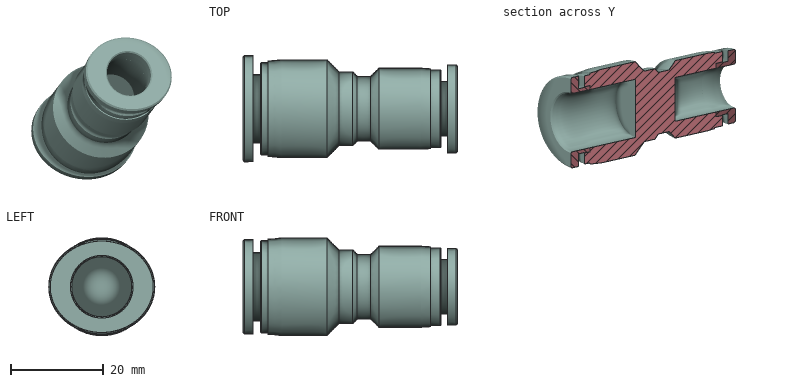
import cadquery as cq

length = 46.5
edge_chamfer = 0.33
bore_chamfer = 0.3
nose_chamfer = 0.2
flange_thickness = 2.25

large_bore_diameter = 13.0
large_sleeve_diameter = 14.8
large_flange_width = 22.95
large_flange_height = 20.45
large_nose_diameter = 20.0
large_taper_diameter = 20.65
large_body_diameter = 21.2
large_nose_x = 3.8
large_taper_x = 5.4
large_body_x = 8.4
large_shoulder_x = 18.2
large_sleeve_depth = 5.4
large_bore_depth = 18.2

small_bore_diameter = 9.75
small_sleeve_diameter = 11.9
small_flange_width = 19.05
small_flange_height = 16.6
small_nose_diameter = 16.9
small_taper_diameter = 17.3
small_body_diameter = 17.6
small_shoulder_x = 29.5
small_body_x = 38.65
small_taper_x = 40.65
small_nose_x = 42.9
small_sleeve_depth = 5.4
small_bore_depth = length - small_shoulder_x

waist_diameter = 16.0
groove_diameter = 14.0
waist_start_x = large_shoulder_x + (large_body_diameter - waist_diameter) / 2
waist_end_x = 23.75
groove_start_x = waist_end_x + (waist_diameter - groove_diameter) / 2
groove_end_x = small_shoulder_x - (small_body_diameter - groove_diameter) / 2


def cylinder(diameter, start_x, end_x):
    """Cylinder along X between two stations."""
    return cq.Workplane("YZ", origin=(start_x, 0, 0)).circle(diameter / 2).extrude(end_x - start_x)


def make_housing():
    """Turned outer shape with a stepped blind socket at each end."""
    stations = [
        (large_nose_x, large_nose_diameter - 2 * nose_chamfer),
        (large_nose_x + nose_chamfer, large_nose_diameter),
        (large_taper_x, large_nose_diameter),
        (large_taper_x, large_taper_diameter),
        (large_body_x, large_body_diameter),
        (large_shoulder_x, large_body_diameter),
        (waist_start_x, waist_diameter),
        (waist_end_x, waist_diameter),
        (groove_start_x, groove_diameter),
        (groove_end_x, groove_diameter),
        (small_shoulder_x, small_body_diameter),
        (small_body_x, small_body_diameter),
        (small_taper_x, small_taper_diameter),
        (small_taper_x, small_nose_diameter),
        (small_nose_x - nose_chamfer, small_nose_diameter),
        (small_nose_x, small_nose_diameter - 2 * nose_chamfer),
    ]
    outline = [(large_nose_x, 0)]
    outline += [(x, diameter / 2) for x, diameter in stations]
    outline += [(small_nose_x, 0)]
    body = cq.Workplane("XY").polyline(outline).close().revolve(360, (0, 0, 0), (1, 0, 0))

    body = body.cut(cylinder(large_sleeve_diameter, 0, large_sleeve_depth))
    body = body.cut(cylinder(small_sleeve_diameter, length - small_sleeve_depth, length))

    body = body.cut(cylinder(large_bore_diameter, 0, large_bore_depth))
    body = body.cut(cylinder(small_bore_diameter, length - small_bore_depth, length))
    return body


def make_collar(flange_width, flange_height, sleeve_diameter, bore_diameter, depth):
    """Release collar with its outer face at X = 0 and its sleeve pointing along +X."""
    flange = (
        cq.Workplane("YZ")
        .ellipse(flange_width / 2, flange_height / 2)
        .extrude(flange_thickness)
        .faces("<X")
        .chamfer(edge_chamfer)
    )
    collar = flange.union(cylinder(sleeve_diameter, 0, depth))
    collar = collar.cut(cylinder(bore_diameter, 0, depth))
    lead_in = cq.Solid.makeCone(
        bore_diameter / 2 + bore_chamfer,
        bore_diameter / 2,
        bore_chamfer,
        cq.Vector(0, 0, 0),
        cq.Vector(1, 0, 0),
    )
    return collar.cut(cq.Workplane(lead_in))


housing = make_housing()

large_collar = make_collar(
    large_flange_width,
    large_flange_height,
    large_sleeve_diameter,
    large_bore_diameter,
    large_sleeve_depth,
)

small_collar = make_collar(
    small_flange_width,
    small_flange_height,
    small_sleeve_diameter,
    small_bore_diameter,
    small_sleeve_depth,
).rotate((0, 0, 0), (0, 0, 1), 180).translate((length, 0, 0))

result = cq.Compound.makeCompound([housing.val(), large_collar.val(), small_collar.val()])